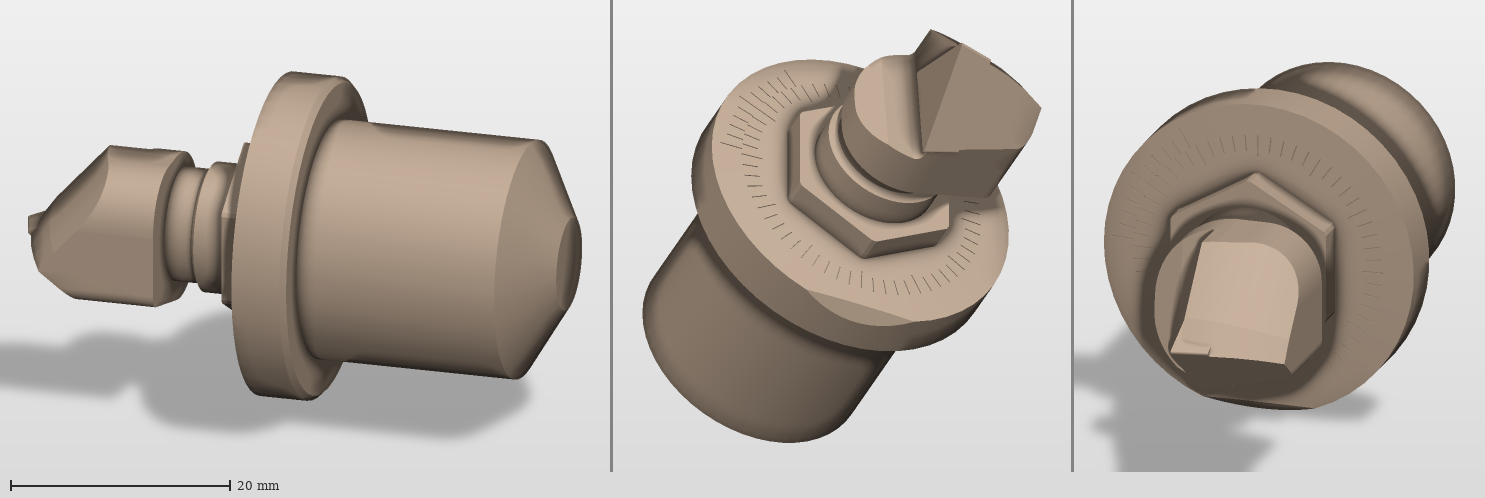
import cadquery as cq
import math


BIG = 51.5

flange_diameter = 29.75
flange_rim_x = 23.75
flange_back_x = 28.8
flange_chamfer = 0.5
shank_diameter = 22.0
shank_cone_x = 47.55
shank_end_x = 51.5
shank_end_diameter = 8.55
bevel_edge_z = -13.85
bevel_angle = 40.0

dial_diameter = 23.95
dial_thickness = 2.05
face_inner_diameter = 17.0
face_inner_x = 23.35
hex_across_flats = 14.95
hex_front_x = 20.65

tick_width = 0.1
tick_depth = 0.1
dial_tick_step = 6.0
dial_tick_count = 60
dial_ticks_per_major = 5
dial_tick_length = 1.55
dial_major_tick_length = 2.0
vernier_tick_step = 5.4
vernier_middle_angle = 60.0
vernier_half_count = 5
vernier_tick_length = 1.55
vernier_major_tick_length = 2.05

collar_diameter = 12.0
collar_front_x = 17.1
collar_chamfer_length = 0.45
neck_diameter = 10.5

head_back_x = 14.65
head_side_y = -9.05
head_back_radius = 7.1
head_back_center_y = -1.1
head_back_center_z = -0.1
head_top_radius = 5.15
head_bottom_radius = 1.4
head_lower_radius = 5.75
head_lower_center_z = -1.45
head_bottom_angle = 15.0

nose_bend_x = 2.85
nose_bend_z = 1.35
nose_upper_angle = 48.0
nose_lower_angle = 54.0
nose_radius = 19.05
nose_center_y = 1.25

pocket_floor_y = 0.2
pocket_fillet = 0.7
pocket_wall_x = 11.1
pocket_wall_tilt = 7.5
pocket_bend_y = 3.35
pocket_outer_angle = 16.0

insert_inscribed_radius = 3.2
insert_corner_radius = 0.2
insert_center_z = -1.9
insert_face_y = 0.6
insert_thickness = 3.3
insert_relief = 8.0
insert_edge_angle = -37.0
insert_corner_count = 3
insert_corner_angle = 60.0
head_relief = 7.5

insert_circumradius = 2 * insert_inscribed_radius
insert_tip_angle = insert_edge_angle + insert_corner_angle / 2 + 180
insert_center_x = insert_corner_radius - (insert_circumradius - 2 * insert_corner_radius) * math.cos(
    math.radians(insert_tip_angle)
)


def half_space(origin, normal):
    """Large block that starts at a plane and fills the side the normal points to."""
    return cq.Workplane(cq.Plane(origin=origin, normal=normal)).rect(2 * BIG, 2 * BIG).extrude(BIG)


face_slope = (flange_rim_x - face_inner_x) / (flange_diameter / 2 - face_inner_diameter / 2)


def face_x(radius):
    """Position of the conical face along X at a given radius."""
    return face_inner_x + face_slope * (radius - face_inner_diameter / 2)


def engrave_tick(body, inner_radius, length, angle):
    """Cut one radial groove into the conical face; the angle runs from +Z towards +Y."""
    middle_radius = inner_radius + length / 2
    groove = (
        cq.Workplane("XY")
        .box(2 * tick_depth, tick_width, length)
        .rotate((0, 0, 0), (0, 1, 0), math.degrees(math.atan(face_slope)))
        .translate((face_x(middle_radius), 0, middle_radius))
        .rotate((0, 0, 0), (1, 0, 0), -angle)
    )
    return body.cut(groove)


dial_radius = dial_diameter / 2
dial_back_x = face_x(dial_radius) + dial_thickness


def make_housing():
    flange_radius = flange_diameter / 2
    housing = (
        cq.Workplane("XY")
        .moveTo(dial_back_x, 0)
        .lineTo(dial_back_x, dial_radius)
        .lineTo(face_x(dial_radius), dial_radius)
        .lineTo(flange_rim_x, flange_radius)
        .lineTo(flange_back_x - flange_chamfer, flange_radius)
        .lineTo(flange_back_x, flange_radius - flange_chamfer)
        .lineTo(flange_back_x, shank_diameter / 2)
        .lineTo(shank_cone_x, shank_diameter / 2)
        .lineTo(shank_end_x, shank_end_diameter / 2)
        .lineTo(shank_end_x, 0)
        .close()
        .revolve(360, (0, 0, 0), (1, 0, 0))
    )
    bevel = math.radians(bevel_angle)
    bevel_normal = (-math.sin(bevel), 0, -math.cos(bevel))
    housing = housing.cut(half_space((flange_rim_x, 0, bevel_edge_z), bevel_normal))

    for index in range(-vernier_half_count, vernier_half_count + 1):
        is_major = index % vernier_half_count == 0
        length = vernier_major_tick_length if is_major else vernier_tick_length
        angle = vernier_middle_angle + index * vernier_tick_step
        housing = engrave_tick(housing, dial_radius, length, angle)
    return housing


def make_dial():
    inner_radius = face_inner_diameter / 2
    dial = (
        cq.Workplane("XY")
        .moveTo(dial_back_x, 0)
        .lineTo(dial_back_x, dial_radius)
        .lineTo(face_x(dial_radius), dial_radius)
        .lineTo(face_inner_x, inner_radius)
        .lineTo(face_inner_x, 0)
        .close()
        .revolve(360, (0, 0, 0), (1, 0, 0))
    )
    for index in range(dial_tick_count):
        is_major = index % dial_ticks_per_major == 0
        length = dial_major_tick_length if is_major else dial_tick_length
        dial = engrave_tick(dial, dial_radius - length, length, index * dial_tick_step)
    return dial


def make_hexagon():
    """Hexagon with flats on +Y and -Y, its corners turned down to a cylinder."""
    length = face_inner_x - hex_front_x
    across_corners = hex_across_flats / math.cos(math.radians(30))
    base = cq.Workplane("YZ", origin=(hex_front_x, 0, 0))
    turned = base.circle(face_inner_diameter / 2).extrude(length)
    hexagon = base.transformed(rotate=(0, 0, 30)).polygon(6, across_corners).extrude(length)
    return hexagon.intersect(turned)


def make_neck():
    """Neck and chamfered collar between the head and the hexagon."""
    return (
        cq.Workplane("XY")
        .moveTo(head_back_x, 0)
        .lineTo(head_back_x, neck_diameter / 2)
        .lineTo(collar_front_x, neck_diameter / 2)
        .lineTo(collar_front_x + collar_chamfer_length, collar_diameter / 2)
        .lineTo(hex_front_x, collar_diameter / 2)
        .lineTo(hex_front_x, 0)
        .close()
        .revolve(360, (0, 0, 0), (1, 0, 0))
    )


def make_head_blank():
    """Prism along X: rounded back, flat top, flat side and a sloping bottom tangent to the back."""
    slope = math.radians(head_bottom_angle)
    head_back_y = head_back_center_y + head_back_radius
    head_top_z = head_back_center_z + head_back_radius

    upper_diagonal = head_back_radius * math.sqrt(0.5)
    lower_center_y = head_back_y - head_lower_radius
    lower_diagonal = head_lower_radius * math.sqrt(0.5)
    tangent_y = lower_center_y - head_lower_radius * math.sin(slope)
    tangent_z = head_lower_center_z - head_lower_radius * math.cos(slope)
    bottom_corner_z = tangent_z + (tangent_y - head_side_y) * math.tan(slope)

    top_center_y = head_side_y + head_top_radius
    top_center_z = head_top_z - head_top_radius
    diagonal = head_top_radius * math.sqrt(0.5)
    turn = math.pi / 2 - slope
    bottom_setback = head_bottom_radius * math.tan(turn / 2)
    bottom_center_y = head_side_y + head_bottom_radius
    bottom_center_z = bottom_corner_z + bottom_setback
    bottom_end_y = head_side_y + bottom_setback * math.cos(slope)
    bottom_end_z = bottom_corner_z - bottom_setback * math.sin(slope)
    bottom_middle_y = bottom_center_y - head_bottom_radius * math.cos(turn / 2)
    bottom_middle_z = bottom_center_z - head_bottom_radius * math.sin(turn / 2)

    return (
        cq.Workplane("YZ")
        .moveTo(tangent_y, tangent_z)
        .threePointArc(
            (lower_center_y + lower_diagonal, head_lower_center_z - lower_diagonal),
            (head_back_y, head_lower_center_z),
        )
        .lineTo(head_back_y, head_back_center_z)
        .threePointArc(
            (head_back_center_y + upper_diagonal, head_back_center_z + upper_diagonal),
            (head_back_center_y, head_top_z),
        )
        .lineTo(top_center_y, head_top_z)
        .threePointArc((top_center_y - diagonal, top_center_z + diagonal), (head_side_y, top_center_z))
        .lineTo(head_side_y, bottom_center_z)
        .threePointArc((bottom_middle_y, bottom_middle_z), (bottom_end_y, bottom_end_z))
        .close()
        .extrude(head_back_x)
    )


def make_nose_cylinder(angle):
    """Large cylinder along one nose flank, touching the bend of the nose."""
    along_x = math.cos(math.radians(angle))
    along_z = math.sin(math.radians(angle))
    start = (
        nose_bend_x + nose_radius * along_z - BIG * along_x,
        nose_center_y,
        nose_bend_z - nose_radius * along_x - BIG * along_z,
    )
    plane = cq.Plane(origin=start, normal=(along_x, 0, along_z))
    return cq.Workplane(plane).circle(nose_radius).extrude(2 * BIG)


def make_chip_pocket():
    """Open pocket with a filleted foot and a bent wall, swept along the tilted wall."""
    tilt = math.radians(pocket_wall_tilt)
    plane = cq.Plane(
        origin=(pocket_wall_x, 0, 0),
        xDir=(math.cos(tilt), 0, -math.sin(tilt)),
        normal=(math.sin(tilt), 0, math.cos(tilt)),
    )
    outer_run = BIG * math.tan(math.radians(pocket_outer_angle))
    return (
        cq.Workplane(plane)
        .moveTo(-BIG, pocket_floor_y)
        .lineTo(-pocket_fillet, pocket_floor_y)
        .radiusArc((0, pocket_floor_y + pocket_fillet), -pocket_fillet)
        .lineTo(0, pocket_bend_y)
        .lineTo(outer_run, pocket_bend_y + BIG)
        .lineTo(-BIG, pocket_bend_y + BIG)
        .close()
        .extrude(BIG, both=True)
    )


def make_head_relief():
    """Space below the cutting edge, starting at the lower rim of the insert's back face."""
    edge = math.radians(insert_edge_angle)
    relief = math.radians(head_relief)
    back_radius = insert_inscribed_radius - insert_thickness * math.tan(math.radians(insert_relief))
    out_x = math.sin(edge)
    out_z = -math.cos(edge)
    rim = (
        insert_center_x + back_radius * out_x,
        insert_face_y - insert_thickness,
        insert_center_z + back_radius * out_z,
    )
    normal = (out_x * math.cos(relief), -math.sin(relief), out_z * math.cos(relief))
    return half_space(rim, normal)


def make_bar(insert):
    head = make_head_blank()
    for angle in (nose_upper_angle, nose_lower_angle):
        head = head.intersect(make_nose_cylinder(angle))
    head = head.cut(make_chip_pocket()).cut(make_head_relief()).cut(insert)
    return head.union(make_neck()).union(make_hexagon()).union(make_dial())


def make_insert():
    """Rounded triangle facing +Y whose sides taper inwards by the relief angle."""
    plane = cq.Plane(
        origin=(insert_center_x, insert_face_y, insert_center_z), xDir=(1, 0, 0), normal=(0, -1, 0)
    )
    corners = []
    for index in range(insert_corner_count):
        angle = math.radians(insert_tip_angle + index * 360 / insert_corner_count)
        corners.append((insert_circumradius * math.cos(angle), insert_circumradius * math.sin(angle)))
    blank = cq.Workplane(plane).polyline(corners).close().extrude(insert_thickness, taper=insert_relief)
    return blank.edges("not(#Y)").fillet(insert_corner_radius)


insert = make_insert()
bar = make_bar(insert)
housing = make_housing()

result = cq.Compound.makeCompound([housing.val(), bar.val(), insert.val()])